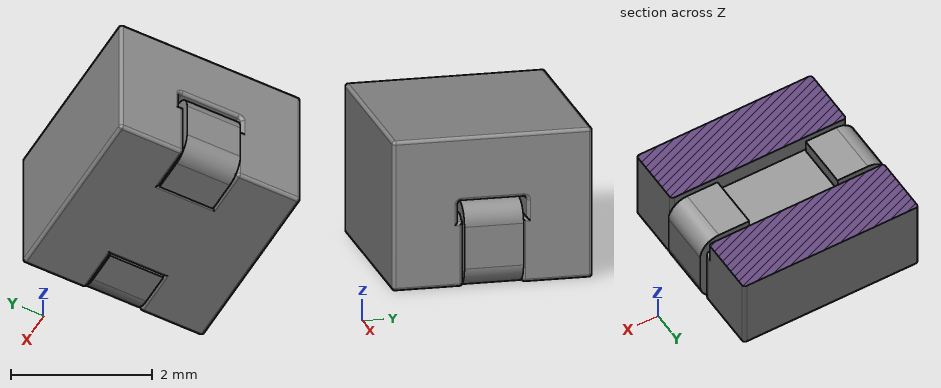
import cadquery as cq

body_side = 2.9
body_height = 2.21
edge_radius = 0.05

overall_length = 3.08
strap_width = 0.855
strap_thickness = 0.2
strap_bend_radius = 0.308
strap_height = 1.232
strap_leg_length = 0.81
standoff = 0.02

window_width = 0.998
window_bottom = 0.955
window_top = 1.263

body_half = body_side / 2
strap_outer_x = overall_length / 2
strap_inner_x = strap_outer_x - strap_thickness
leg_end_x = strap_outer_x - strap_leg_length
groove_depth = body_half - strap_inner_x
groove_height = strap_thickness - standoff


def make_body():
    body = cq.Workplane("XY").box(body_side, body_side, body_height, centered=(True, True, False))
    window = (
        cq.Workplane("XY")
        .box(body_side, window_width, window_top - window_bottom, centered=(True, True, False))
        .edges("|X and >Z")
        .fillet(edge_radius)
        .translate((0, 0, window_bottom))
    )
    body = body.cut(window)

    wall_groove = (
        cq.Workplane("XY")
        .box(groove_depth, strap_width, window_bottom, centered=(False, True, False))
        .translate((strap_inner_x, 0, 0))
    )
    floor_groove = (
        cq.Workplane("XY")
        .box(body_half - leg_end_x, strap_width, groove_height, centered=(False, True, False))
        .translate((leg_end_x, 0, 0))
    )
    groove = wall_groove.union(floor_groove)
    body = body.cut(groove).cut(groove.mirror("YZ"))

    return body.faces("<X or >X or <Y or >Y or <Z or >Z").edges().fillet(edge_radius)


def make_strap():
    inner_height = strap_height - 2 * strap_thickness
    outer = (
        cq.Workplane("XY")
        .box(strap_leg_length, strap_width, strap_height, centered=(False, True, False))
        .edges("|Y and >X")
        .fillet(strap_bend_radius)
    )
    inner = (
        cq.Workplane("XY")
        .box(strap_leg_length - strap_thickness, strap_width, inner_height, centered=(False, True, False))
        .edges("|Y and >X")
        .fillet(strap_bend_radius - strap_thickness)
        .translate((0, 0, strap_thickness))
    )
    return outer.cut(inner).translate((leg_end_x, 0, -standoff))


strap = make_strap()
result = make_body().union(strap).union(strap.mirror("YZ"))